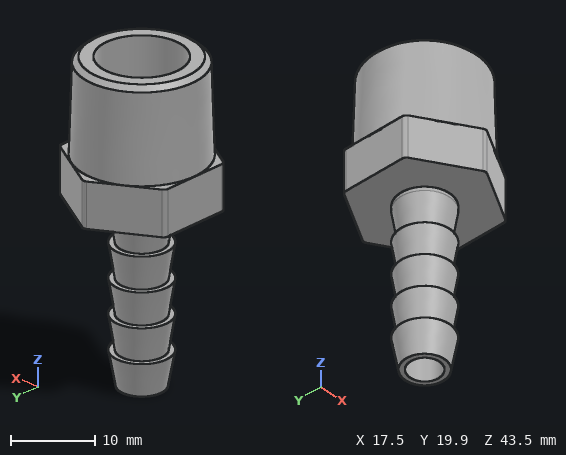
import cadquery as cq
import math

total_height = 43.45
hex_across_flats = 17.45
hex_top = 30.55
hex_height = 6.3
hex_bottom = hex_top - hex_height
hex_corner_radius = 0.75

male_base_radius = 8.7
male_rim_radius = 8.3
male_face_radius = 7.5
male_chamfer_height = 0.7

barb_count = 5
barb_pitch = 4.75
barb_major_radius = 4.0
barb_minor_radius = 3.2
tip_radius = 3.13
first_barb_top = 23.65
bore_radius = 2.35

wide_bore_radius = 5.75
wide_bore_depth = 16.5


def make_hexagon():
    """Hexagonal collar with corners on the Y axis and rounded vertical edges."""
    reach = hex_across_flats / 2 / math.cos(math.radians(30))
    angles = [math.radians(30 + 60 * index) for index in range(6)]
    corners = [(reach * math.cos(angle), reach * math.sin(angle)) for angle in angles]
    return (
        cq.Workplane("XY")
        .workplane(offset=hex_bottom)
        .polyline(corners)
        .close()
        .extrude(hex_height)
        .edges("|Z")
        .fillet(hex_corner_radius)
    )


def make_male_end():
    """Slightly tapered spigot with a chamfered rim."""
    profile = [
        (0, hex_top),
        (male_base_radius, hex_top),
        (male_rim_radius, total_height - male_chamfer_height),
        (male_face_radius, total_height),
        (0, total_height),
    ]
    return cq.Workplane("XZ").polyline(profile).close().revolve(360, (0, 0), (0, 1))


def make_barbed_tail():
    """Short cylindrical neck followed by a stack of cones narrowing downwards."""
    profile = [(0, hex_bottom), (barb_major_radius, hex_bottom)]
    for index in range(barb_count):
        barb_top = first_barb_top - index * barb_pitch
        is_tip = index == barb_count - 1
        barb_bottom = 0 if is_tip else barb_top - barb_pitch
        bottom_radius = tip_radius if is_tip else barb_minor_radius
        profile.append((barb_major_radius, barb_top))
        profile.append((bottom_radius, barb_bottom))
    profile.append((0, 0))
    return cq.Workplane("XZ").polyline(profile).close().revolve(360, (0, 0), (0, 1))


body = make_hexagon().union(make_male_end()).union(make_barbed_tail())

through_bore = cq.Workplane("XY").circle(bore_radius).extrude(total_height)
wide_bore = (
    cq.Workplane("XY")
    .workplane(offset=total_height - wide_bore_depth)
    .circle(wide_bore_radius)
    .extrude(wide_bore_depth)
)

result = body.cut(through_bore).cut(wide_bore)